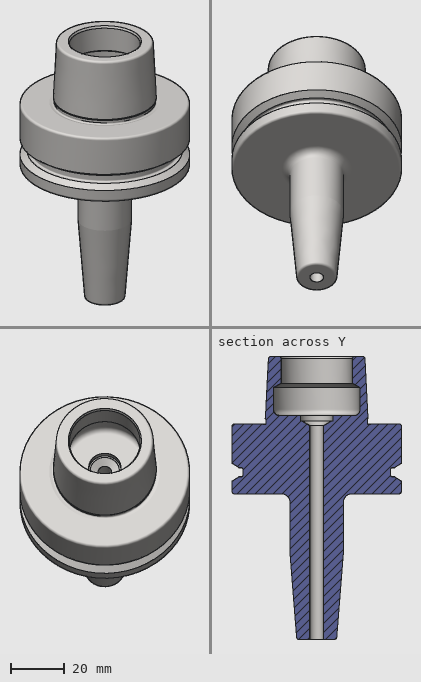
import cadquery as cq
import math


TOTAL_HEIGHT = 105.0
FLANGE_TOP = 80.0
FLANGE_HEIGHT = 26.0
FLANGE_BOTTOM = FLANGE_TOP - FLANGE_HEIGHT
EDGE_ROUND = 0.9
MATCH_TOLERANCE = 0.01

SHANK_RADIUS = 10.0
NOSE_TAPER_HEIGHT = 31.9
NOSE_TAPER_ANGLE = 4.5
TIP_RADIUS = SHANK_RADIUS - NOSE_TAPER_HEIGHT * math.tan(math.radians(NOSE_TAPER_ANGLE))
ROOT_FILLET = 3.0

FLANGE_RADIUS = 31.5
GROOVE_CENTRE = FLANGE_TOP - 18.0
GROOVE_MOUTH = 6.6
GROOVE_FLOOR_RADIUS = 27.5
GROOVE_FLOOR_WIDTH = 3.3
GROOVE_SHOULDER_RADIUS = 28.9
GROOVE_FILLET = 0.5
GROOVE_TOP = GROOVE_CENTRE + GROOVE_MOUTH / 2
GROOVE_BOTTOM = GROOVE_CENTRE - GROOVE_MOUTH / 2
GROOVE_FLOOR_TOP = GROOVE_CENTRE + GROOVE_FLOOR_WIDTH / 2
GROOVE_FLOOR_BOTTOM = GROOVE_CENTRE - GROOVE_FLOOR_WIDTH / 2

TAPER_FOOT_RADIUS = 19.1
TAPER_FOOT = FLANGE_TOP + 2.0
TAPER_SLOPE = 0.05
TAPER_RIM_RADIUS = TAPER_FOOT_RADIUS - TAPER_SLOPE * (TOTAL_HEIGHT - TAPER_FOOT)
NECK_RADIUS = 18.9
NECK_TOP = FLANGE_TOP + 1.5
NECK_BOTTOM = FLANGE_TOP + 0.5
RELIEF_INNER_RADIUS = 19.5
RELIEF_OUTER_RADIUS = 20.5
RELIEF_DEPTH = 0.2

MOUTH_RADIUS = 13.1
MOUTH_CHAMFER_WIDTH = 0.4
MOUTH_CHAMFER_DEPTH = 0.8
LIP_DEPTH = 10.0
CLAMP_RADIUS = 16.0
CLAMP_SHOULDER_ANGLE = 30
CLAMP_DEPTH = 21.8
CLAMP_FLOOR_FILLET = 2.0
CLAMP_FLOOR = TOTAL_HEIGHT - CLAMP_DEPTH

COUNTERBORE_RADIUS = 6.0
COUNTERBORE_DEPTH = 2.1
CONE_RADIUS = 5.4
CONE_HALF_ANGLE = 59
PASSAGE_RADIUS = 2.5


def revolve(profile):
    """Close a radius-height profile and spin it around the Z axis."""
    return profile.close().revolve(360, (0, 0, 0), (0, 1, 0))


def fillet_circle(body, radius, height, size):
    """Fillet the circular edge with the given radius and height."""
    def matches(edge):
        if edge.geomType() != "CIRCLE":
            return False
        same_radius = abs(edge.radius() - radius) < MATCH_TOLERANCE
        return same_radius and abs(edge.Center().z - height) < MATCH_TOLERANCE

    edges = [edge for edge in body.edges().vals() if matches(edge)]
    return body.newObject(edges).fillet(size)


def outer_body():
    """Solid outer shape: nose, grooved flange, relief and taper."""
    body = revolve(
        cq.Workplane("XZ")
        .lineTo(TIP_RADIUS, 0)
        .lineTo(SHANK_RADIUS, NOSE_TAPER_HEIGHT)
        .lineTo(SHANK_RADIUS, FLANGE_BOTTOM)
        .lineTo(FLANGE_RADIUS, FLANGE_BOTTOM)
        .lineTo(FLANGE_RADIUS, GROOVE_BOTTOM)
        .lineTo(GROOVE_SHOULDER_RADIUS, GROOVE_FLOOR_BOTTOM)
        .lineTo(GROOVE_FLOOR_RADIUS, GROOVE_FLOOR_BOTTOM)
        .lineTo(GROOVE_FLOOR_RADIUS, GROOVE_FLOOR_TOP)
        .lineTo(GROOVE_SHOULDER_RADIUS, GROOVE_FLOOR_TOP)
        .lineTo(FLANGE_RADIUS, GROOVE_TOP)
        .lineTo(FLANGE_RADIUS, FLANGE_TOP)
        .lineTo(RELIEF_OUTER_RADIUS, FLANGE_TOP)
        .lineTo(RELIEF_INNER_RADIUS, FLANGE_TOP - RELIEF_DEPTH)
        .tangentArcPoint((NECK_RADIUS, NECK_BOTTOM), relative=False)
        .lineTo(NECK_RADIUS, NECK_TOP)
        .lineTo(TAPER_FOOT_RADIUS, TAPER_FOOT)
        .lineTo(TAPER_RIM_RADIUS, TOTAL_HEIGHT)
        .lineTo(0, TOTAL_HEIGHT)
    )
    rounded_edges = [
        (TIP_RADIUS, 0, EDGE_ROUND),
        (SHANK_RADIUS, FLANGE_BOTTOM, ROOT_FILLET),
        (FLANGE_RADIUS, FLANGE_BOTTOM, EDGE_ROUND),
        (GROOVE_FLOOR_RADIUS, GROOVE_FLOOR_BOTTOM, GROOVE_FILLET),
        (GROOVE_FLOOR_RADIUS, GROOVE_FLOOR_TOP, GROOVE_FILLET),
        (FLANGE_RADIUS, FLANGE_TOP, EDGE_ROUND),
        (TAPER_RIM_RADIUS, TOTAL_HEIGHT, EDGE_ROUND),
    ]
    for radius, height, size in rounded_edges:
        body = fillet_circle(body, radius, height, size)
    return body


def inner_cavity():
    """Clamping bore with its undercut, counterbore, cone and through passage."""
    lip = TOTAL_HEIGHT - LIP_DEPTH
    shoulder_rise = (CLAMP_RADIUS - MOUTH_RADIUS) * math.tan(math.radians(CLAMP_SHOULDER_ANGLE))
    ledge = CLAMP_FLOOR - COUNTERBORE_DEPTH
    cone_height = (CONE_RADIUS - PASSAGE_RADIUS) / math.tan(math.radians(CONE_HALF_ANGLE))
    cavity = revolve(
        cq.Workplane("XZ")
        .lineTo(PASSAGE_RADIUS, 0)
        .lineTo(PASSAGE_RADIUS, ledge - cone_height)
        .lineTo(CONE_RADIUS, ledge)
        .lineTo(COUNTERBORE_RADIUS, ledge)
        .lineTo(COUNTERBORE_RADIUS, CLAMP_FLOOR)
        .lineTo(CLAMP_RADIUS, CLAMP_FLOOR)
        .lineTo(CLAMP_RADIUS, lip - shoulder_rise)
        .lineTo(MOUTH_RADIUS, lip)
        .lineTo(MOUTH_RADIUS, TOTAL_HEIGHT - MOUTH_CHAMFER_DEPTH)
        .lineTo(MOUTH_RADIUS + MOUTH_CHAMFER_WIDTH, TOTAL_HEIGHT)
        .lineTo(0, TOTAL_HEIGHT)
    )
    return fillet_circle(cavity, CLAMP_RADIUS, CLAMP_FLOOR, CLAMP_FLOOR_FILLET)


result = outer_body().cut(inner_cavity())